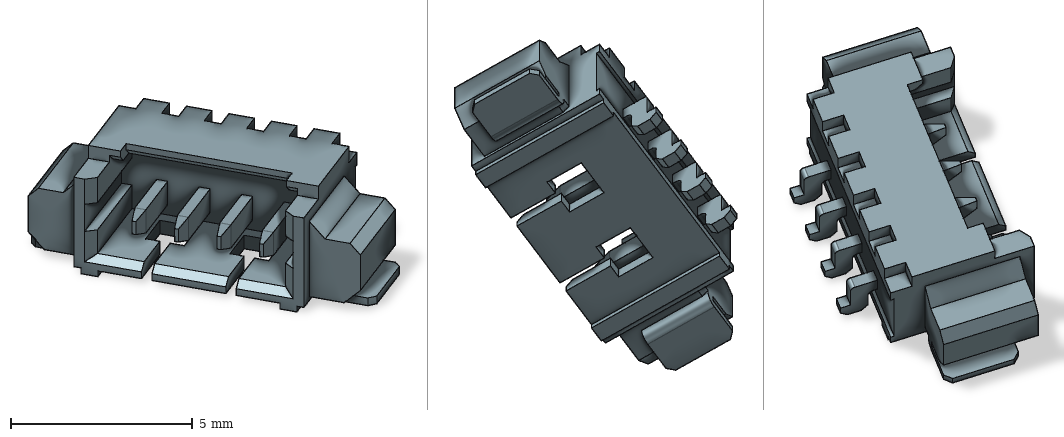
import cadquery as cq


PIN_COUNT = 4
PIN_PITCH = 1.25
PIN_WIDTH = 0.32
PIN_BOTTOM = 0.93
PIN_TOP = 1.66
PIN_TAPER_START = 1.22
PIN_TIP = 0.7
PIN_ROOT_OVERLAP = 0.41
TIP_WIDTH = 0.11
TIP_BOTTOM = 1.13
TIP_TOP = 1.53

TAIL_TOP = 1.37
TAIL_UNDERSIDE = 0.88
TAIL_FRONT = 4.38
TAIL_BACK = 4.9
TAIL_END = 5.2
TAIL_FOOT_TOP = 0.48
TAIL_FOOT_CHAMFER = 0.2
TAIL_OUTER_BEND = 0.13
TAIL_INNER_BEND = 0.16

BODY_WIDTH = 6.76
BODY_DEPTH = 4.21
BODY_BOTTOM = 0.18
BODY_TOP = 3.4
WALL_TOP = 2.99
ROOF_FRONT = 1.16
ROOF_NOTCH_WIDTH = 4.87
ROOF_NOTCH_BACK = 1.61

CAVITY_WIDTH = 5.52
GROOVE_WIDTH = 6.13
GROOVE_BOTTOM = 1.35
GROOVE_TOP = 2.2
CAVITY_FLOOR = 0.61
CAVITY_BACK = 2.95
MOUTH_BEVEL = 0.21

FLOOR_SLOT_WIDTH = 0.3
FLOOR_SLOT_OFFSET = 1.24
FLOOR_WINDOW_WIDTH = 1.14
FLOOR_WINDOW_FRONT = 1.46
FLOOR_WINDOW_BACK = 2.59

BACK_NOTCH_WIDTH = 0.5
BACK_NOTCH_DEPTH = 0.62
BACK_NOTCH_FLOOR = 2.89
BACK_RECESS_DEPTH = 0.1
BACK_RECESS_BOTTOM = 0.48
BACK_RECESS_TOP = 2.5

RAIL_WIDTH = 0.5
RAIL_OFFSET = 2.92

WING_FRONT = 0.43
WING_BACK = 3.21
WING_HALF_SPAN = 4.88
WING_BOTTOM = 0.3
WING_TOP = 2.2
WING_TOP_CHAMFER = 0.3
WING_BOTTOM_CHAMFER = 0.48
WING_GUSSET = 0.47
WING_RELIEF_DEPTH = 0.19
WING_RELIEF_HEIGHT = 0.14

TAB_END = 5.08
TAB_FRONT = 1.02
TAB_THICKNESS = 0.24
TAB_BEND_X = 3.96
TAB_BEND_RADIUS = 0.07
TAB_LEG_TOP = 0.61
TAB_CORNER = 0.19

HALF_BODY = BODY_WIDTH / 2
PIN_POSITIONS = [(i - (PIN_COUNT - 1) / 2) * PIN_PITCH for i in range(PIN_COUNT)]


def block(x_min, x_max, y_min, y_max, z_min, z_max):
    """Box given by its limits on each axis."""
    size = (x_max - x_min, y_max - y_min, z_max - z_min)
    return cq.Workplane("XY").box(*size, centered=False).translate((x_min, y_min, z_min))


def centered_block(x_center, width, y_min, y_max, z_min, z_max):
    """Box of a given width about an X position."""
    return block(x_center - width / 2, x_center + width / 2, y_min, y_max, z_min, z_max)


def prism_along_x(points, width):
    """Prism with a (Y, Z) outline, centred on X = 0."""
    return cq.Workplane("YZ").polyline(points).close().extrude(width / 2, both=True)


def mirrored(shape):
    """The shape together with its mirror image in X."""
    return shape.union(shape.mirror("YZ"))


def make_cavity():
    """Space inside the housing, with a groove in each side wall and a flared mouth."""
    cavity = centered_block(0, CAVITY_WIDTH, 0, CAVITY_BACK, CAVITY_FLOOR, WALL_TOP)
    cavity = cavity.union(centered_block(0, GROOVE_WIDTH, 0, CAVITY_BACK, GROOVE_BOTTOM, GROOVE_TOP))

    mouth_bottom = CAVITY_FLOOR - MOUTH_BEVEL
    mouth_height = WALL_TOP - mouth_bottom
    inner_height = WALL_TOP - CAVITY_FLOOR
    mouth = (
        cq.Workplane("XZ")
        .center(0, WALL_TOP - mouth_height / 2)
        .rect(GROOVE_WIDTH, mouth_height)
        .workplane(offset=-MOUTH_BEVEL)
        .center(0, (mouth_height - inner_height) / 2)
        .rect(CAVITY_WIDTH, inner_height)
        .loft(ruled=True)
    )
    return cavity.union(mouth)


def roof_bevel(front, width):
    """Wedge that bevels the underside of a roof edge lying at Y = front."""
    points = [
        (front, WALL_TOP),
        (front, WALL_TOP + MOUTH_BEVEL),
        (front + MOUTH_BEVEL, WALL_TOP),
    ]
    return prism_along_x(points, width)


def make_housing():
    """Plastic shell: hollow body with its floor slots, back notches and rails."""
    body = centered_block(0, BODY_WIDTH, 0, BODY_DEPTH, BODY_BOTTOM, BODY_TOP)
    body = body.cut(centered_block(0, BODY_WIDTH, 0, ROOF_FRONT, WALL_TOP, BODY_TOP))
    body = body.cut(centered_block(0, ROOF_NOTCH_WIDTH, 0, ROOF_NOTCH_BACK, WALL_TOP, BODY_TOP))
    body = body.cut(make_cavity())
    body = body.cut(roof_bevel(ROOF_FRONT, CAVITY_WIDTH))
    body = body.cut(roof_bevel(ROOF_NOTCH_BACK, ROOF_NOTCH_WIDTH))

    for x in (-FLOOR_SLOT_OFFSET, FLOOR_SLOT_OFFSET):
        body = body.cut(centered_block(x, FLOOR_SLOT_WIDTH, 0, FLOOR_WINDOW_BACK, BODY_BOTTOM, CAVITY_FLOOR))
        window = centered_block(
            x, FLOOR_WINDOW_WIDTH, FLOOR_WINDOW_FRONT, FLOOR_WINDOW_BACK, BODY_BOTTOM, CAVITY_FLOOR
        )
        body = body.cut(window)

    corner = HALF_BODY - BACK_NOTCH_WIDTH / 2
    notch_front = BODY_DEPTH - BACK_NOTCH_DEPTH
    for x in [-corner, *PIN_POSITIONS, corner]:
        body = body.cut(
            centered_block(x, BACK_NOTCH_WIDTH, notch_front, BODY_DEPTH, BACK_NOTCH_FLOOR, BODY_TOP)
        )

    recess_front = BODY_DEPTH - BACK_RECESS_DEPTH
    body = body.cut(
        centered_block(0, BODY_WIDTH, recess_front, BODY_DEPTH, BACK_RECESS_BOTTOM, BACK_RECESS_TOP)
    )

    for x in (-RAIL_OFFSET, RAIL_OFFSET):
        body = body.union(centered_block(x, RAIL_WIDTH, 0, BODY_DEPTH, 0, BODY_BOTTOM))
    return body


def make_wing():
    """Right-hand side wing with its gusset against the body."""
    gusset_end = HALF_BODY + WING_GUSSET
    outline = [
        (HALF_BODY, WING_BOTTOM),
        (WING_HALF_SPAN - WING_BOTTOM_CHAMFER, WING_BOTTOM),
        (WING_HALF_SPAN, WING_BOTTOM + WING_BOTTOM_CHAMFER),
        (WING_HALF_SPAN, WING_TOP - WING_TOP_CHAMFER),
        (WING_HALF_SPAN - WING_TOP_CHAMFER, WING_TOP),
        (gusset_end, WING_TOP),
        (HALF_BODY, WING_TOP + WING_GUSSET),
    ]
    wing = cq.Workplane("XZ", origin=(0, WING_FRONT, 0)).polyline(outline).close()
    wing = wing.extrude(WING_FRONT - WING_BACK)

    relief = [
        (WING_BACK, WING_BOTTOM),
        (WING_BACK - WING_RELIEF_DEPTH, WING_BOTTOM),
        (WING_BACK, WING_BOTTOM + WING_RELIEF_HEIGHT),
    ]
    return wing.cut(prism_along_x(relief, 2 * WING_HALF_SPAN))


def make_tab():
    """Right-hand solder tab bent up into the underside of the wing."""
    outer_radius = TAB_BEND_RADIUS + TAB_THICKNESS
    leg_inner_x = TAB_BEND_X - outer_radius
    leg_outer_x = TAB_BEND_X - TAB_BEND_RADIUS
    outline = (
        cq.Workplane("XZ", origin=(0, TAB_FRONT, 0))
        .moveTo(TAB_END, 0)
        .lineTo(TAB_BEND_X, 0)
        .radiusArc((leg_inner_x, outer_radius), outer_radius)
        .lineTo(leg_inner_x, TAB_LEG_TOP)
        .lineTo(leg_outer_x, TAB_LEG_TOP)
        .lineTo(leg_outer_x, outer_radius)
        .radiusArc((TAB_BEND_X, TAB_THICKNESS), -TAB_BEND_RADIUS)
        .lineTo(TAB_END, TAB_THICKNESS)
        .close()
    )
    tab = outline.extrude(TAB_FRONT - WING_BACK)
    return tab.edges("|Z and >X").chamfer(TAB_CORNER)


def make_pin():
    """Contact centred on X = 0: blade with a tapered tip, and a stepped solder tail."""
    root = CAVITY_BACK + PIN_ROOT_OVERLAP
    blade = centered_block(0, PIN_WIDTH, PIN_TAPER_START, root, PIN_BOTTOM, PIN_TOP)
    pin_middle = (PIN_BOTTOM + PIN_TOP) / 2
    tip_middle = (TIP_BOTTOM + TIP_TOP) / 2
    tip = (
        cq.Workplane("XZ", origin=(0, PIN_TAPER_START, pin_middle))
        .rect(PIN_WIDTH, PIN_TOP - PIN_BOTTOM)
        .workplane(offset=PIN_TAPER_START - PIN_TIP)
        .center(0, tip_middle - pin_middle)
        .rect(TIP_WIDTH, TIP_TOP - TIP_BOTTOM)
        .loft(ruled=True)
    )
    tail = (
        cq.Workplane("YZ")
        .moveTo(CAVITY_BACK, TAIL_TOP)
        .lineTo(TAIL_BACK - TAIL_OUTER_BEND, TAIL_TOP)
        .radiusArc((TAIL_BACK, TAIL_TOP - TAIL_OUTER_BEND), TAIL_OUTER_BEND)
        .lineTo(TAIL_BACK, TAIL_FOOT_TOP)
        .lineTo(TAIL_END, TAIL_FOOT_TOP)
        .lineTo(TAIL_END, TAIL_FOOT_CHAMFER)
        .lineTo(TAIL_END - TAIL_FOOT_CHAMFER, 0)
        .lineTo(TAIL_FRONT + TAIL_FOOT_CHAMFER, 0)
        .lineTo(TAIL_FRONT, TAIL_FOOT_CHAMFER)
        .lineTo(TAIL_FRONT, TAIL_UNDERSIDE - TAIL_INNER_BEND)
        .radiusArc((TAIL_FRONT - TAIL_INNER_BEND, TAIL_UNDERSIDE), -TAIL_INNER_BEND)
        .lineTo(CAVITY_BACK, TAIL_UNDERSIDE)
        .close()
        .extrude(PIN_WIDTH / 2, both=True)
    )
    return blade.union(tip).union(tail)


result = make_housing()
result = result.union(mirrored(make_wing().union(make_tab())))
pin = make_pin()
for x in PIN_POSITIONS:
    result = result.union(pin.translate((x, 0, 0)))